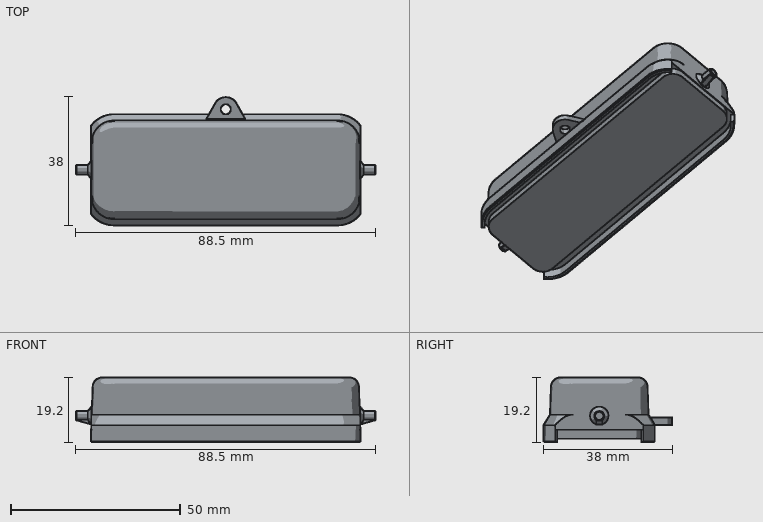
import cadquery as cq
import math

total_height = 19.2
waist_height = 8.1
upper_half_length = 39.65
upper_half_width = 14.6
upper_corner_radius = 6.7
draft_angle = 2.0
top_fillet = 3.0

flange_height = 5.05
flange_overhang = 1.9
foot_chamfer = 0.35

groove_top = 3.7
flange_wall = 1.1
plug_bottom = 1.0
plug_half_length = 39.65
plug_half_width = 12.5
plug_corner_radius = 4.1
opening_overrun = 1.1

pin_tip_x = 44.25
pin_height = 7.8
pin_radius = 1.46
pin_tip_chamfer = 0.3
collar_radius = 2.7
collar_length = 1.1
rib_thickness = 1.7
rib_foot_height = 5.2
rib_tip_setback = 0.7
embed = 0.9

lug_bottom = flange_height
lug_thickness = 2.3
lug_hole_y = 17.9
lug_hole_diameter = 2.9
lug_tip_radius = 3.6
lug_base_y = 14.2
lug_edge_angle = 29.0

flange_half_width = upper_half_width + flange_overhang
flange_corner_radius = upper_corner_radius + flange_overhang
flange_half_length = upper_half_length + flange_overhang
corner_center_x = upper_half_length - upper_corner_radius
corner_center_y = upper_half_width - upper_corner_radius
draft_slope = math.tan(math.radians(draft_angle))


def end_face_x(z):
    """Half length of the hood between its drafted end faces at height z."""
    return upper_half_length + (waist_height - z) * draft_slope


def rounded_outline(half_length, half_width, corner_radius, z):
    sketch = cq.Sketch().rect(2 * half_length, 2 * half_width).vertices().fillet(corner_radius)
    return cq.Workplane("XY").workplane(offset=z).placeSketch(sketch)


def make_upper_hood():
    outline = rounded_outline(upper_half_length, upper_half_width, upper_corner_radius, waist_height)
    hood = outline.extrude(total_height - waist_height, taper=draft_angle)
    return hood.faces(">Z").edges().fillet(top_fillet)


def make_flange():
    outline_sizes = (flange_half_length, flange_half_width, flange_corner_radius)
    foot = rounded_outline(*outline_sizes, 0).extrude(flange_height)
    foot = foot.faces("<Z").edges().chamfer(foot_chamfer)

    slope_height = waist_height - flange_height
    slope_angle = math.degrees(math.atan(flange_overhang / slope_height))
    slope = rounded_outline(*outline_sizes, flange_height).extrude(slope_height, taper=slope_angle)

    between_ends = (
        cq.Workplane("XZ")
        .moveTo(-end_face_x(0), 0)
        .lineTo(end_face_x(0), 0)
        .lineTo(end_face_x(waist_height), waist_height)
        .lineTo(-end_face_x(waist_height), waist_height)
        .close()
        .extrude(flange_half_width, both=True)
    )
    return foot.union(slope).intersect(between_ends)


def make_end_opening():
    """Gap in the flange wall at the +X end, with its sides cut radially to the corner arcs."""
    reach_x = end_face_x(groove_top) - corner_center_x
    reach_y = math.sqrt(flange_corner_radius**2 - reach_x**2)
    mouth_x = corner_center_x + opening_overrun * reach_x
    mouth_y = corner_center_y + opening_overrun * reach_y
    outline = [
        (corner_center_x, corner_center_y),
        (mouth_x, mouth_y),
        (mouth_x, -mouth_y),
        (corner_center_x, -corner_center_y),
    ]
    return cq.Workplane("XY").polyline(outline).close().extrude(groove_top)


def make_underside_groove():
    """Space inside the flange wall and through both ends, around the rounded plug."""
    inside_wall = rounded_outline(
        flange_half_length - flange_wall,
        flange_half_width - flange_wall,
        flange_corner_radius - flange_wall,
        0,
    ).extrude(groove_top)
    plug = rounded_outline(
        plug_half_length, plug_half_width, plug_corner_radius, plug_bottom
    ).extrude(groove_top - plug_bottom)
    opening = make_end_opening()
    return inside_wall.union(opening).union(opening.mirror("YZ")).cut(plug)


def make_pin():
    """Pin with conical collar and supporting rib on the +X end."""
    root_x = upper_half_length - embed
    collar_foot_x = end_face_x(pin_height)
    collar_tip_x = collar_foot_x + collar_length
    pin = (
        cq.Workplane("XY")
        .moveTo(root_x, 0)
        .lineTo(root_x, collar_radius)
        .lineTo(collar_foot_x, collar_radius)
        .lineTo(collar_tip_x, pin_radius)
        .lineTo(pin_tip_x - pin_tip_chamfer, pin_radius)
        .lineTo(pin_tip_x, pin_radius - pin_tip_chamfer)
        .lineTo(pin_tip_x, 0)
        .close()
        .revolve(360, (0, 0, 0), (1, 0, 0))
        .translate((0, 0, pin_height))
    )
    rib = (
        cq.Workplane("XZ")
        .moveTo(root_x, pin_height)
        .lineTo(root_x, rib_foot_height)
        .lineTo(collar_foot_x, rib_foot_height)
        .lineTo(pin_tip_x - rib_tip_setback, pin_height - pin_radius)
        .lineTo(pin_tip_x - rib_tip_setback, pin_height)
        .close()
        .extrude(rib_thickness / 2, both=True)
    )
    return pin.union(rib)


def make_lug():
    lean = math.radians(lug_edge_angle)
    tangent_x = lug_tip_radius * math.cos(lean)
    tangent_y = lug_hole_y + lug_tip_radius * math.sin(lean)
    base_half_width = tangent_x + (tangent_y - lug_base_y) * math.tan(lean)
    return (
        cq.Workplane("XY")
        .workplane(offset=lug_bottom)
        .moveTo(-base_half_width, lug_base_y)
        .lineTo(-tangent_x, tangent_y)
        .threePointArc((0, lug_hole_y + lug_tip_radius), (tangent_x, tangent_y))
        .lineTo(base_half_width, lug_base_y)
        .close()
        .extrude(lug_thickness)
        .cut(
            cq.Workplane("XY")
            .center(0, lug_hole_y)
            .circle(lug_hole_diameter / 2)
            .extrude(total_height)
        )
    )


right_pin = make_pin()
hood = make_upper_hood().union(make_flange()).cut(make_underside_groove())
result = hood.union(make_lug()).union(right_pin).union(right_pin.mirror("YZ"))